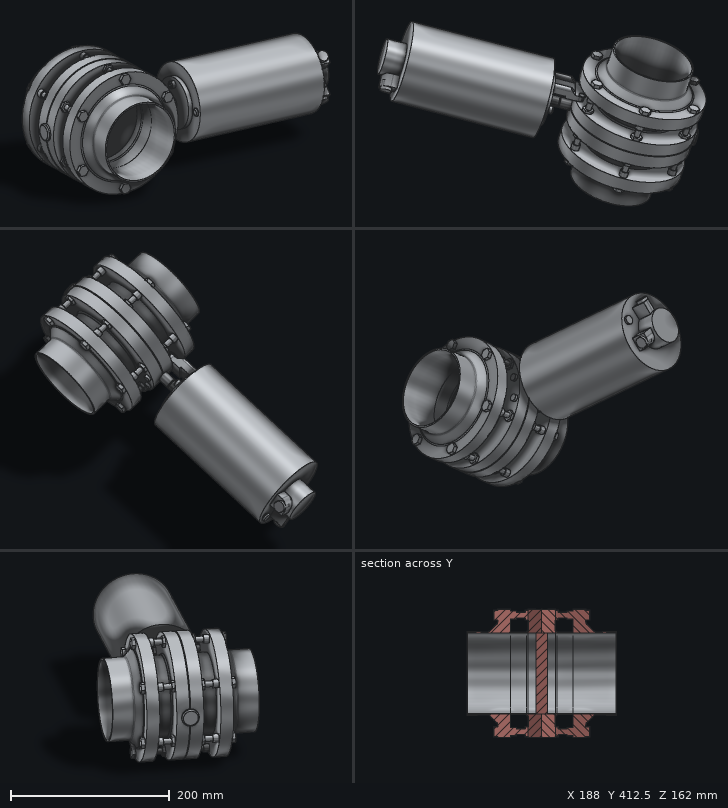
import cadquery as cq
import math


PIPE_END = 94.0
PIPE_RADIUS = 53.0
INNER_PIPE_RADIUS = 52.0
BORE_RADIUS = 50.7
FLANGE_RADIUS = 162.0 / 2
FLANGE_INNER = 39.0
FLANGE_OUTER = 55.5
HUB_RADIUS = 64.8
HUB_RIM = 1.0
CONE_RADIUS = 62.5
CONE_END = FLANGE_OUTER + HUB_RIM + CONE_RADIUS - PIPE_RADIUS
CONE_FILLET = 2.0

BOLT_COUNT = 6
BOLT_CIRCLE = 73.5
BOLT_RADIUS = 3.7
HEAD_WIDTH = 15.0
HEAD_HEIGHT = 5.0
NUT_HEIGHT = 3.7
SLEEVE_RADIUS = 5.5
SLEEVE_LENGTH = 7.5

BODY_HALF = 17.5
SEAM_CHAMFER = 0.6
COLLAR_RADIUS = 54.0
COLLAR_LENGTH = 2.0

STEM_RADIUS = 7.0
DISC_THICKNESS = 2 * STEM_RADIUS + 1.0
STEM_END = 96.0
STEM_CHAMFER = 1.0
CAP_RADIUS = 11.0
CAP_END = 84.5
CAP_DEPTH = 10.5
CAP_CHAMFER = 1.5

ACTUATOR_RADIUS = 52.0
ACTUATOR_START = 116.7
ACTUATOR_END = 302.8
BASE_RADIUS = 34.2
BASE_START = 110.5
BOSS_RADIUS = 23.0
BOSS_END = 328.0
SCREW_OFFSET = 25.0
SCREW_RADIUS = 5.0
SCREW_HEIGHT = 6.0
SCREW_CHAMFER = 1.2
SOCKET_WIDTH = 5.8
SOCKET_DEPTH = 3.0
PLUG_OFFSET = 43.0
PLUG_HEAD_RADIUS = 5.8
PLUG_NECK_RADIUS = 3.7
PLUG_HEAD_HEIGHT = 3.0
PLUG_NECK_HEIGHT = 1.5
LOWER_PLUG_RADIUS = 5.5
LOWER_PLUG_HEIGHT = 2.5
LOWER_PLUG_CHAMFER = 1.5

FITTING_WIDTH = 17.5
FITTING_BACK_X = 14.0
FITTING_BACK_Z = 29.0
FITTING_DEPTH = 19.0
FITTING_HEIGHT = 20.5
FITTING_ROUND = 12.5
OUTLET_RADIUS = 7.5
OUTLET_LENGTH = 4
OUTLET_HEIGHT = 12.5
FITTING_TURN = 45

BRACKET_HALF_WIDTH = 18.0
LEG_THICKNESS = 7.5
LEG_OUTER = 32.0
BRACKET_INNER = 20.0
WEB_OUTER = 26.0
FOOT_OUTER = 24.7
FOOT_TOP = 93.2
FOOT_BOTTOM = 69.0
FOOT_CORNER = 7.5
TAPER_TOP = 89.5
TAPER_BOTTOM = 81.5
BRACKET_BOLT_Y = 72.5
BRACKET_BOLT_Z = BRACKET_HALF_WIDTH - LEG_THICKNESS / 2
BRACKET_BOLT_RADIUS = 2.5
BRACKET_HEAD_RADIUS = 4.5
BRACKET_HEAD_HEIGHT = 1.2


def x_rod(radius, start, end, y=0, z=0):
    """Cylinder along X."""
    return cq.Workplane("YZ", origin=(start, 0, 0)).center(y, z).circle(radius).extrude(end - start)


def y_rod(radius, start, end, x=0, z=0):
    """Cylinder along Y."""
    return cq.Workplane("XZ", origin=(x, start, z)).circle(radius).extrude(start - end)


def x_hexagon(width, start, end, y, z):
    """Hexagonal prism along X."""
    return cq.Workplane("YZ", origin=(start, 0, 0)).center(y, z).polygon(6, width).extrude(end - start)


def flange_bolt(angle):
    """Bolt on the +X side with its head, spacer sleeve and nut."""
    y = BOLT_CIRCLE * math.sin(math.radians(angle))
    z = BOLT_CIRCLE * math.cos(math.radians(angle))
    head = x_hexagon(HEAD_WIDTH, FLANGE_OUTER, FLANGE_OUTER + HEAD_HEIGHT, y, z)
    nut = x_hexagon(HEAD_WIDTH, BODY_HALF, BODY_HALF + NUT_HEIGHT, y, z)
    sleeve = x_rod(SLEEVE_RADIUS, FLANGE_INNER - SLEEVE_LENGTH, FLANGE_INNER, y, z)
    shank = x_rod(BOLT_RADIUS, BODY_HALF, FLANGE_OUTER, y, z)
    return shank.union(head).union(nut).union(sleeve)


def make_pipe_end():
    """Pipe end on the +X side with its flange and bolts."""
    outline = [
        (BODY_HALF, BORE_RADIUS),
        (BODY_HALF, COLLAR_RADIUS),
        (BODY_HALF + COLLAR_LENGTH, PIPE_RADIUS),
        (BODY_HALF + COLLAR_LENGTH, INNER_PIPE_RADIUS),
        (FLANGE_INNER, INNER_PIPE_RADIUS),
        (FLANGE_INNER, FLANGE_RADIUS),
        (FLANGE_OUTER, FLANGE_RADIUS),
        (FLANGE_OUTER, HUB_RADIUS),
        (FLANGE_OUTER + HUB_RIM, CONE_RADIUS),
        (CONE_END, PIPE_RADIUS),
        (PIPE_END, PIPE_RADIUS),
        (PIPE_END, BORE_RADIUS),
    ]
    pipe_end = cq.Workplane("XY").polyline(outline).close().revolve(360, (0, 0, 0), (1, 0, 0))
    cone_edge = cq.selectors.NearestToPointSelector((CONE_END, 0, 0))
    pipe_end = pipe_end.edges(cone_edge).fillet(CONE_FILLET)
    for i in range(BOLT_COUNT):
        pipe_end = pipe_end.union(flange_bolt(i * 360 / BOLT_COUNT))
    return pipe_end


def make_disc():
    """Closing disc with the stem above it and the capped trunnion below it."""
    disc = x_rod(BORE_RADIUS, -DISC_THICKNESS / 2, DISC_THICKNESS / 2)
    stem = y_rod(STEM_RADIUS, -CAP_END + CAP_CHAMFER, STEM_END).faces(">Y").chamfer(STEM_CHAMFER)
    cap = y_rod(CAP_RADIUS, -CAP_END, -CAP_END + CAP_DEPTH).faces("<Y").chamfer(CAP_CHAMFER)
    return disc.union(stem).union(cap)


def make_body_half():
    """Half of the valve body on the +X side, bored for the disc, stem and bracket bolts."""
    ring = x_rod(FLANGE_RADIUS, 0, BODY_HALF).faces("<X").chamfer(SEAM_CHAMFER)
    ring = ring.cut(x_rod(BORE_RADIUS, 0, BODY_HALF))
    ring = ring.cut(y_rod(STEM_RADIUS, -FLANGE_RADIUS, FLANGE_RADIUS))
    ring = ring.cut(y_rod(CAP_RADIUS, -CAP_END, -CAP_END + CAP_DEPTH))
    for z in (-BRACKET_BOLT_Z, BRACKET_BOLT_Z):
        ring = ring.cut(x_rod(BRACKET_BOLT_RADIUS, 0, BODY_HALF, BRACKET_BOLT_Y, z))
    return ring


def make_bracket():
    """Channel bracket on the -X side of the stem, with the bolts that clamp it to the body."""
    side = [
        (-LEG_OUTER, BASE_START),
        (-LEG_OUTER, TAPER_TOP),
        (-FOOT_OUTER, TAPER_BOTTOM),
        (-FOOT_OUTER, FOOT_BOTTOM),
        (-BODY_HALF, FOOT_BOTTOM),
        (-BODY_HALF, FOOT_TOP),
        (-BRACKET_INNER, FOOT_TOP),
        (-BRACKET_INNER, BASE_START),
    ]
    bracket = cq.Workplane("XY").polyline(side).close().extrude(BRACKET_HALF_WIDTH, both=True)
    bracket = bracket.faces("<Y").edges("|X").fillet(FOOT_CORNER)
    nose = LEG_THICKNESS / 2
    length = BASE_START - FOOT_BOTTOM
    web_size = (WEB_OUTER - BODY_HALF, length, 2 * BRACKET_HALF_WIDTH)
    section = cq.Workplane("XY", origin=(-WEB_OUTER, FOOT_BOTTOM, 0))
    section = section.box(*web_size, centered=(False, False, True))
    for z in (-BRACKET_BOLT_Z, BRACKET_BOLT_Z):
        leg_size = (LEG_OUTER - nose - BODY_HALF, length, LEG_THICKNESS)
        leg = cq.Workplane("XY", origin=(nose - LEG_OUTER, FOOT_BOTTOM, z))
        section = section.union(leg.box(*leg_size, centered=(False, False, True)))
        section = section.union(y_rod(nose, FOOT_BOTTOM, BASE_START, nose - LEG_OUTER, z))
    bracket = bracket.intersect(section)
    head_end = -FOOT_OUTER - BRACKET_HEAD_HEIGHT
    nut_end = BODY_HALF + NUT_HEIGHT
    for z in (-BRACKET_BOLT_Z, BRACKET_BOLT_Z):
        bracket = bracket.union(x_rod(BRACKET_HEAD_RADIUS, head_end, -FOOT_OUTER, BRACKET_BOLT_Y, z))
        bracket = bracket.union(x_rod(BRACKET_BOLT_RADIUS, -FOOT_OUTER, BODY_HALF, BRACKET_BOLT_Y, z))
        bracket = bracket.union(x_rod(BRACKET_HEAD_RADIUS, BODY_HALF, nut_end, BRACKET_BOLT_Y, z))
    return bracket


def cap_screw(z):
    """Socket screw on the actuator base."""
    tip = BASE_START - SCREW_HEIGHT
    screw = y_rod(SCREW_RADIUS, tip, BASE_START, 0, z).faces("<Y").chamfer(SCREW_CHAMFER)
    socket = cq.Workplane("XZ", origin=(0, tip, z)).polygon(6, SOCKET_WIDTH).extrude(-SOCKET_DEPTH)
    return screw.cut(socket)


def air_fitting(side):
    """Fitting with a rounded back and a side outlet; side is +1 for +Z and -1 for -Z."""
    profile = (
        cq.Workplane("XY")
        .lineTo(FITTING_DEPTH, 0)
        .lineTo(FITTING_DEPTH, FITTING_HEIGHT)
        .lineTo(FITTING_ROUND, FITTING_HEIGHT)
        .radiusArc((0, FITTING_HEIGHT - FITTING_ROUND), -FITTING_ROUND)
        .close()
    )
    fitting = profile.extrude(FITTING_WIDTH / 2, both=True)
    outlet = (
        cq.Workplane("XY", origin=(FITTING_DEPTH / 2, OUTLET_HEIGHT, 0))
        .circle(OUTLET_RADIUS)
        .extrude(side * (FITTING_WIDTH / 2 + OUTLET_LENGTH))
    )
    fitting = fitting.union(outlet).rotate((0, 0, 0), (0, 1, 0), side * FITTING_TURN)
    return fitting.translate((FITTING_BACK_X, ACTUATOR_END, side * FITTING_BACK_Z))


def make_actuator():
    """Cylindrical actuator with its drive shaft, base, screws, rear boss, plugs and air fittings."""
    actuator = y_rod(ACTUATOR_RADIUS, ACTUATOR_START, ACTUATOR_END)
    actuator = actuator.union(y_rod(BASE_RADIUS, BASE_START, ACTUATOR_START))
    actuator = actuator.union(y_rod(BOSS_RADIUS, ACTUATOR_END, BOSS_END))
    shaft = y_rod(STEM_RADIUS, STEM_END, BASE_START).faces("<Y").chamfer(STEM_CHAMFER)
    actuator = actuator.union(shaft)
    for side in (-1, 1):
        actuator = actuator.union(cap_screw(side * SCREW_OFFSET))
        actuator = actuator.union(air_fitting(side))
    neck_end = ACTUATOR_END + PLUG_NECK_HEIGHT
    actuator = actuator.union(y_rod(PLUG_NECK_RADIUS, ACTUATOR_END, neck_end, PLUG_OFFSET))
    actuator = actuator.union(y_rod(PLUG_HEAD_RADIUS, neck_end, neck_end + PLUG_HEAD_HEIGHT, PLUG_OFFSET))
    lower_plug = y_rod(LOWER_PLUG_RADIUS, ACTUATOR_START - LOWER_PLUG_HEIGHT, ACTUATOR_START, PLUG_OFFSET)
    return actuator.union(lower_plug.faces("<Y").chamfer(LOWER_PLUG_CHAMFER))


pipe_end = make_pipe_end()
body_half = make_body_half()
pipe_ends = [pipe_end, pipe_end.mirror("YZ")]
body_halves = [body_half, body_half.mirror("YZ")]
disc = make_disc()
bracket = make_bracket()
actuator = make_actuator()

result = cq.Compound.makeCompound(
    [
        *[part.val() for part in pipe_ends],
        *[part.val() for part in body_halves],
        disc.val(),
        bracket.val(),
        actuator.val(),
    ]
)